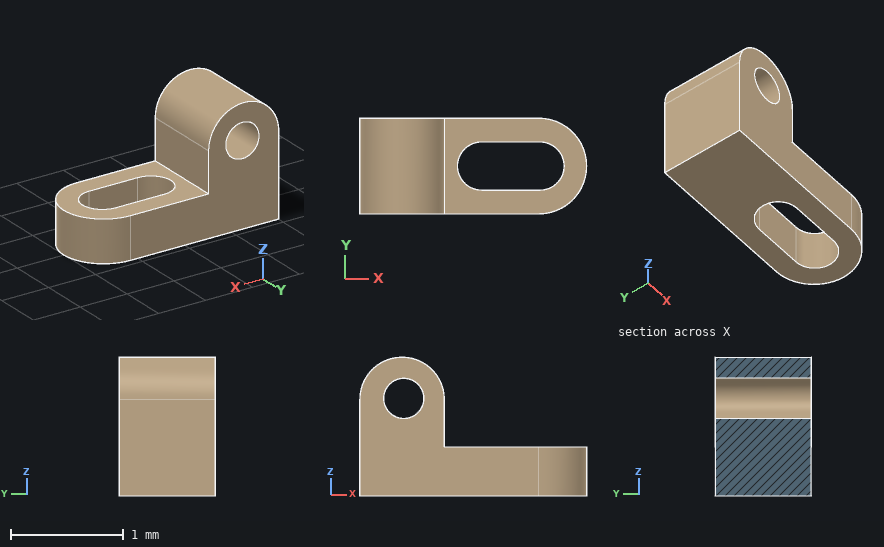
import cadquery as cq

length = 2.01
width = 0.85
height = 1.23

head_length = 0.75
head_radius = head_length / 2
head_center_z = height - head_radius
hole_diameter = 0.354
hole_center_x = 0.39
hole_center_z = 0.865

foot_height = 0.436
foot_radius = width / 2
foot_arc_x = length - foot_radius
slot_width = 0.425
slot_start_x = 0.866
slot_end_x = 1.81


def make_head():
    """Round-topped block at the X = 0 end."""
    return (
        cq.Workplane("XZ")
        .lineTo(head_length, 0)
        .lineTo(head_length, head_center_z)
        .threePointArc((head_radius, height), (0, head_center_z))
        .close()
        .extrude(-width)
    )


def make_foot():
    """Flat plate with a half-round end."""
    return (
        cq.Workplane("XY")
        .lineTo(foot_arc_x, 0)
        .threePointArc((length, width / 2), (foot_arc_x, width))
        .lineTo(0, width)
        .close()
        .extrude(foot_height)
    )


def make_cross_hole():
    """Cylinder through the head along Y."""
    return (
        cq.Workplane("XZ")
        .center(hole_center_x, hole_center_z)
        .circle(hole_diameter / 2)
        .extrude(-width)
    )


def make_slot():
    """Round-ended slot through the foot along Z."""
    return (
        cq.Workplane("XY")
        .center((slot_start_x + slot_end_x) / 2, width / 2)
        .slot2D(slot_end_x - slot_start_x, slot_width)
        .extrude(foot_height)
    )


body = make_head().union(make_foot())
result = body.cut(make_cross_hole()).cut(make_slot())